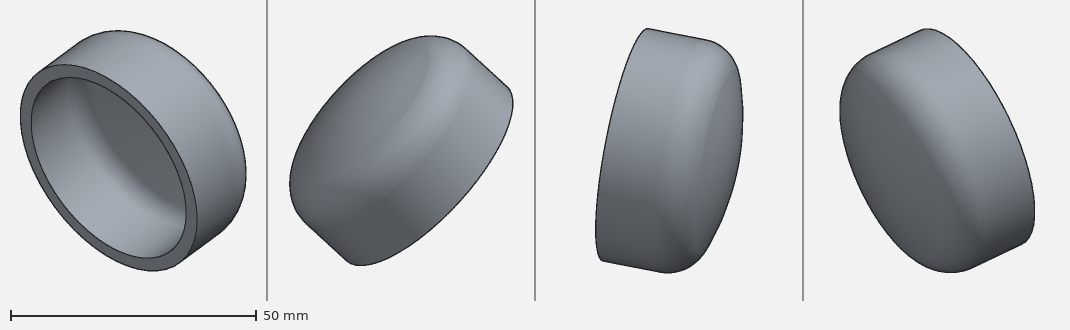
import cadquery as cq
import math

outer_radius = 24.15
wall = 3.0
total_height = 22.9
knuckle_radius = 7.8
crown_radius = 53.15

knuckle_center_x = outer_radius - knuckle_radius
crown_center_y = total_height - crown_radius
tangent_angle = math.asin(knuckle_center_x / (crown_radius - knuckle_radius))
skirt_height = crown_center_y + (crown_radius - knuckle_radius) * math.cos(tangent_angle)


def arc_point(center_x, center_y, radius, angle):
    """Point on an arc, with the angle measured from the +Y axis."""
    return (center_x + radius * math.sin(angle), center_y + radius * math.cos(angle))


def dished_solid(inset):
    """Solid of revolution whose surface lies `inset` inside the outer surface."""
    knuckle = knuckle_radius - inset
    crown = crown_radius - inset
    knuckle_mid_angle = (tangent_angle + math.pi / 2) / 2
    profile = (
        cq.Workplane("XY")
        .lineTo(outer_radius - inset, 0)
        .lineTo(outer_radius - inset, skirt_height)
        .threePointArc(
            arc_point(knuckle_center_x, skirt_height, knuckle, knuckle_mid_angle),
            arc_point(knuckle_center_x, skirt_height, knuckle, tangent_angle),
        )
        .threePointArc(
            arc_point(0, crown_center_y, crown, tangent_angle / 2),
            (0, total_height - inset),
        )
        .close()
    )
    return profile.revolve(360, (0, 0, 0), (0, 1, 0))


result = dished_solid(0).cut(dished_solid(wall))